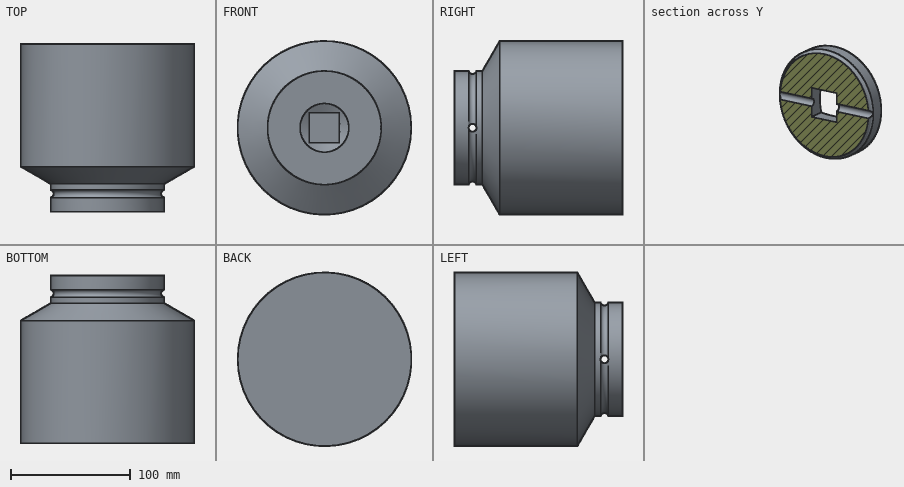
import cadquery as cq

body_radius = 72.5
total_length = 140.0
neck_radius = 47.4
neck_length = 23.2
shoulder_end = 37.7

groove_start = 11.9
groove_width = 6.4
groove_depth = 2.5
groove_center = groove_start + groove_width / 2
pin_hole_diameter = 6.4

drive_size = 25.1
drive_depth = shoulder_end
lead_in_radius = 20.3
lead_in_depth = 3.0
lead_in_end_radius = drive_size / 2


def make_body():
    """Revolve the half outline, including the rounded groove."""
    outline = (
        cq.Workplane("XY")
        .lineTo(neck_radius, 0)
        .lineTo(neck_radius, groove_start)
        .threePointArc(
            (neck_radius - groove_depth, groove_center),
            (neck_radius, groove_start + groove_width),
        )
        .lineTo(neck_radius, neck_length)
        .lineTo(body_radius, shoulder_end)
        .lineTo(body_radius, total_length)
        .lineTo(0, total_length)
        .close()
    )
    return outline.revolve(360, (0, 0, 0), (0, 1, 0))


def make_drive_square():
    return cq.Workplane("XZ").rect(drive_size, drive_size).extrude(-drive_depth)


def make_lead_in():
    """Cone that narrows to the inscribed circle of the drive square."""
    outline = (
        cq.Workplane("XY")
        .lineTo(lead_in_radius, 0)
        .lineTo(lead_in_end_radius, lead_in_depth)
        .lineTo(0, lead_in_depth)
        .close()
    )
    return outline.revolve(360, (0, 0, 0), (0, 1, 0))


def make_pin_hole():
    """Cross hole along X through both sides of the neck."""
    return (
        cq.Workplane("YZ")
        .center(groove_center, 0)
        .circle(pin_hole_diameter / 2)
        .extrude(neck_radius, both=True)
    )


result = make_body().cut(make_drive_square()).cut(make_lead_in()).cut(make_pin_hole())